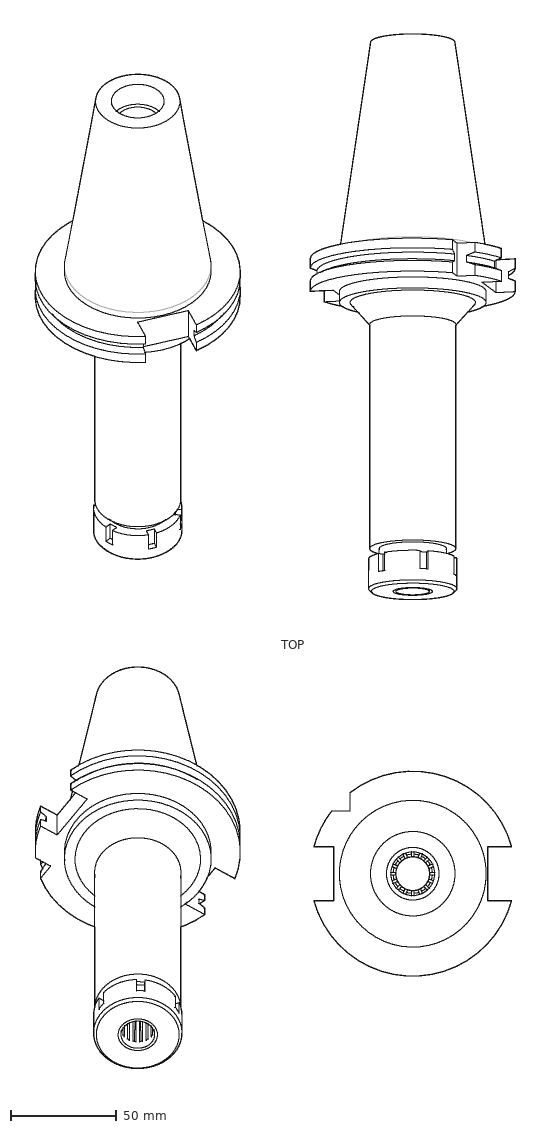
import cadquery as cq
import math

total_length = 266.8
gauge_z = 165.0
taper_ratio = 7 / 24
gauge_radius = 35.0
shank_top_radius = gauge_radius - taper_ratio / 2 * (total_length - gauge_z)

flange_radius = 48.8
flange_top = 161.7
flange_thickness = 16.0
flange_bottom = flange_top - flange_thickness
collar_bottom = 140.3
cone_top_radius = 30.0
cone_bottom = 129.6
body_radius = 20.5
body_bottom = 20.8
neck_radius = 16.0
neck_bottom = 5.3

groove_z = 154.0
groove_depth = 3.2
groove_floor_width = 3.2
groove_mouth_width = 6.1

drive_slot_width = 25.5
left_slot_floor = 37.5
right_slot_floor = 35.7
notch_corner = 30.0

thread_bore_radius = 12.5
thread_bore_depth = 12.3
through_bore_radius = 10.5

collet_bore_radius = 8.0
collet_back_radius = 9.3
collet_half_angle = math.radians(8)
collet_seat_length = 22.1
collet_back_z = neck_bottom + collet_seat_length
collet_max_radius = collet_back_radius + collet_seat_length * math.tan(collet_half_angle)
seat_top_z = neck_bottom + (collet_max_radius - through_bore_radius) / math.tan(collet_half_angle)
nose_half_angle = math.radians(30)
collet_front_radius = collet_max_radius - neck_bottom * math.tan(nose_half_angle)
slit_count = 16
slit_width = 1.3
slit_front_z = neck_bottom

nut_radius = 21.0
nut_top = 15.7
nut_chamfer = 1.3
wrench_slot_count = 6
wrench_slot_width = 4.0
wrench_slot_floor = 18.0
wrench_slot_bottom = 7.0


def revolved(profile):
    """Solid of revolution about Z from (radius, z) points."""
    return cq.Workplane("XZ").polyline(profile).close().revolve(360, (0, 0), (0, 1))


def box_between(low, high):
    """Axis-aligned box between two opposite corners."""
    size = [b - a for a, b in zip(low, high)]
    return cq.Workplane("XY").box(*size, centered=False).translate(low)


def holder_blank():
    """Turned outside: steep taper, grooved flange, collar, cone, body and threaded neck."""
    groove_floor_radius = flange_radius - groove_depth
    return revolved([
        (0, total_length),
        (shank_top_radius, total_length),
        (gauge_radius, gauge_z),
        (gauge_radius, flange_top),
        (flange_radius, flange_top),
        (flange_radius, groove_z + groove_mouth_width / 2),
        (groove_floor_radius, groove_z + groove_floor_width / 2),
        (groove_floor_radius, groove_z - groove_floor_width / 2),
        (flange_radius, groove_z - groove_mouth_width / 2),
        (flange_radius, flange_bottom),
        (gauge_radius, flange_bottom),
        (gauge_radius, collar_bottom),
        (cone_top_radius, collar_bottom),
        (body_radius, cone_bottom),
        (body_radius, body_bottom),
        (neck_radius, body_bottom),
        (neck_radius, neck_bottom),
        (0, neck_bottom),
    ])


def holder_bore():
    """Stepped bore from the shank end down to the tapered collet seat."""
    thread_bore_bottom = total_length - thread_bore_depth
    return revolved([
        (0, total_length),
        (thread_bore_radius, total_length),
        (thread_bore_radius, thread_bore_bottom),
        (through_bore_radius, thread_bore_bottom),
        (through_bore_radius, seat_top_z),
        (collet_max_radius, neck_bottom),
        (0, neck_bottom),
    ])


def flange_cuts():
    """Two drive slots on the X axis and the square notch in the (-X, +Y) corner."""
    half_slot = drive_slot_width / 2
    left_slot = box_between(
        (-flange_radius, -half_slot, flange_bottom), (-left_slot_floor, half_slot, flange_top)
    )
    right_slot = box_between(
        (right_slot_floor, -half_slot, flange_bottom), (flange_radius, half_slot, flange_top)
    )
    notch = box_between(
        (-flange_radius, notch_corner, flange_bottom), (-notch_corner, flange_radius, flange_top)
    )
    return [left_slot, right_slot, notch]


def make_holder():
    """Tool holder: turned blank, bored through, with the flange cut-outs."""
    holder = holder_blank().cut(holder_bore())
    for cutter in flange_cuts():
        holder = holder.cut(cutter)
    return holder


def make_collet():
    """Tapered sleeve with a clamping nose, slit lengthwise from its back end."""
    collet = revolved([
        (collet_bore_radius, 0),
        (collet_front_radius, 0),
        (collet_max_radius, neck_bottom),
        (collet_back_radius, collet_back_z),
        (collet_bore_radius, collet_back_z),
    ])
    slit = box_between(
        (0, -slit_width / 2, slit_front_z), (collet_max_radius, slit_width / 2, collet_back_z)
    )
    for i in range(slit_count):
        collet = collet.cut(slit.rotate((0, 0, 0), (0, 0, 1), i * 360 / slit_count))
    return collet


def make_nut():
    """Clamping nut around the neck, with wrench slots open to its top face."""
    nut = revolved([
        (collet_front_radius, 0),
        (nut_radius - nut_chamfer, 0),
        (nut_radius, nut_chamfer),
        (nut_radius, nut_top),
        (neck_radius, nut_top),
        (neck_radius, neck_bottom),
        (collet_max_radius, neck_bottom),
    ])
    half_slot = wrench_slot_width / 2
    slot = box_between((wrench_slot_floor, -half_slot, wrench_slot_bottom), (nut_radius, half_slot, nut_top))
    for i in range(wrench_slot_count):
        nut = nut.cut(slot.rotate((0, 0, 0), (0, 0, 1), i * 360 / wrench_slot_count))
    return nut


holder = make_holder()
collet = make_collet()
nut = make_nut()

result = cq.Compound.makeCompound([holder.solids().val(), collet.solids().val(), nut.solids().val()])